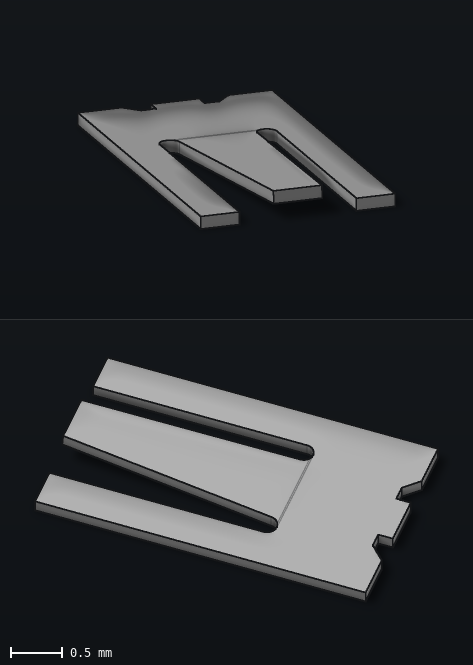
import cadquery as cq
import math

LENGTH = 3.4
WIDTH = 2.0
THICKNESS = 0.13

NOTCH_DEPTH = 0.15
NOTCH_INNER_Y = 0.25
NOTCH_SHOULDER_Y = 0.40
NOTCH_OUTER_Y = NOTCH_SHOULDER_Y + NOTCH_DEPTH

RELIEF_X = 1.1
RELIEF_RADIUS = 0.1
TONGUE_ROOT_HALF_WIDTH = 0.40
TONGUE_TIP_HALF_WIDTH = 0.25
RELIEF_HALF_WIDTH = TONGUE_ROOT_HALF_WIDTH + 2 * RELIEF_RADIUS
RELIEF_CENTER_X = RELIEF_X + RELIEF_RADIUS
RELIEF_CENTER_Y = TONGUE_ROOT_HALF_WIDTH + RELIEF_RADIUS

BEND_ANGLE = 4.25
BEND_INNER_RADIUS = 0.2
BEND_OUTER_RADIUS = BEND_INNER_RADIUS + THICKNESS
BEND_AXIS_Z = BEND_OUTER_RADIUS


def make_sheet():
    return cq.Workplane("XY").box(LENGTH, WIDTH, THICKNESS, centered=(False, True, False))


def make_notch():
    """Cutter for the notch on the +Y side."""
    return (
        cq.Workplane("XY")
        .moveTo(0, NOTCH_INNER_Y)
        .lineTo(NOTCH_DEPTH, NOTCH_INNER_Y)
        .lineTo(NOTCH_DEPTH, NOTCH_SHOULDER_Y)
        .lineTo(0, NOTCH_OUTER_Y)
        .close()
        .extrude(THICKNESS)
    )


def make_opening():
    """Opening between the two arms, with rounded inner corners."""
    opening_length = LENGTH - RELIEF_X
    return (
        cq.Workplane("XY")
        .center(RELIEF_X + opening_length / 2, 0)
        .rect(opening_length, 2 * RELIEF_HALF_WIDTH)
        .extrude(THICKNESS)
        .edges("|Z and <X")
        .fillet(RELIEF_RADIUS)
    )


def bend_point(radius, angle):
    """Point (x, z) on the bend at the given radius and angle in degrees."""
    turn = math.radians(angle)
    return (RELIEF_X + radius * math.sin(turn), BEND_AXIS_Z - radius * math.cos(turn))


def make_bent_strip():
    """Full-width strip of constant thickness: a short bend, then a straight rise."""
    bend = math.radians(BEND_ANGLE)
    bottom_mid = bend_point(BEND_OUTER_RADIUS, BEND_ANGLE / 2)
    bottom_end = bend_point(BEND_OUTER_RADIUS, BEND_ANGLE)
    top_mid = bend_point(BEND_INNER_RADIUS, BEND_ANGLE / 2)
    top_end = bend_point(BEND_INNER_RADIUS, BEND_ANGLE)
    tip_bottom = (LENGTH, bottom_end[1] + (LENGTH - bottom_end[0]) * math.tan(bend))
    tip_top = (
        tip_bottom[0] - THICKNESS * math.sin(bend),
        tip_bottom[1] + THICKNESS * math.cos(bend),
    )
    return (
        cq.Workplane("XZ")
        .moveTo(RELIEF_X, 0)
        .threePointArc(bottom_mid, bottom_end)
        .lineTo(*tip_bottom)
        .lineTo(*tip_top)
        .lineTo(*top_end)
        .threePointArc(top_mid, (RELIEF_X, THICKNESS))
        .close()
        .extrude(RELIEF_HALF_WIDTH, both=True)
    )


def make_tongue_outline():
    """Plan outline of the tongue: flared round root, then a straight taper to the tip."""
    arc_mid_offset = RELIEF_RADIUS / math.sqrt(2)
    mid_x = RELIEF_CENTER_X - arc_mid_offset
    mid_y = RELIEF_CENTER_Y - arc_mid_offset
    height = LENGTH * math.sin(math.radians(BEND_ANGLE)) + THICKNESS
    return (
        cq.Workplane("XY")
        .moveTo(RELIEF_X, -RELIEF_CENTER_Y)
        .threePointArc((mid_x, -mid_y), (RELIEF_CENTER_X, -TONGUE_ROOT_HALF_WIDTH))
        .lineTo(LENGTH, -TONGUE_TIP_HALF_WIDTH)
        .lineTo(LENGTH, TONGUE_TIP_HALF_WIDTH)
        .lineTo(RELIEF_CENTER_X, TONGUE_ROOT_HALF_WIDTH)
        .threePointArc((mid_x, mid_y), (RELIEF_X, RELIEF_CENTER_Y))
        .close()
        .extrude(height)
    )


notch = make_notch()
frame = make_sheet().cut(make_opening()).cut(notch).cut(notch.mirror("XZ"))
tongue = make_bent_strip().intersect(make_tongue_outline())
result = frame.union(tongue)